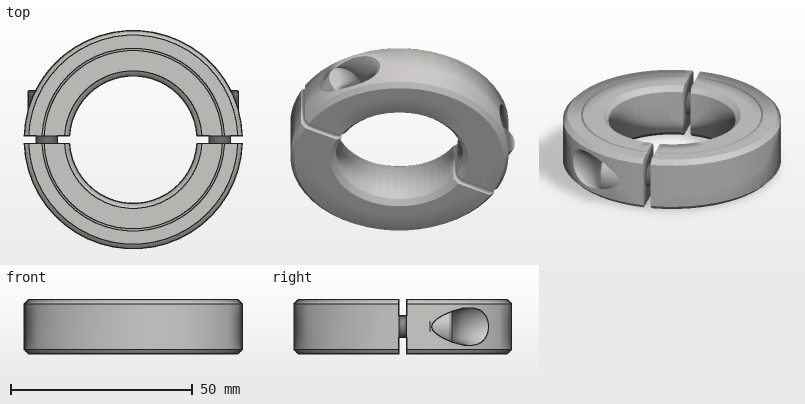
import cadquery as cq


outer_radius = 30.0
bore_radius = 17.5
width = 15.0
gap = 2.1
outer_chamfer = 1.25
bore_chamfer = 1.4

groove_path_radius = 24.8
groove_radius = 0.3

screw_offset = 23.75
shank_radius = 3.0
head_radius = 5.175
head_height = 6.0
head_fillet = 0.5
seat_y = 7.5
shank_length = 16.0
screw_sides = (-1, 1)


def rod_along_y(x, radius, start_y, length):
    """Round rod centred at x on the mid plane, running toward +Y from start_y."""
    plane = cq.Plane(origin=(x, start_y, 0), xDir=(1, 0, 0), normal=(0, 1, 0))
    return cq.Workplane(plane).circle(radius).extrude(length)


def make_ring():
    """Full ring, centred on the origin, with chamfered rims and the groove in its top face."""
    half_width = width / 2
    profile = [
        (bore_radius, -half_width + bore_chamfer),
        (bore_radius + bore_chamfer, -half_width),
        (outer_radius - outer_chamfer, -half_width),
        (outer_radius, -half_width + outer_chamfer),
        (outer_radius, half_width - outer_chamfer),
        (outer_radius - outer_chamfer, half_width),
        (bore_radius + bore_chamfer, half_width),
        (bore_radius, half_width - bore_chamfer),
    ]
    ring = cq.Workplane("XZ").polyline(profile).close().revolve(360, (0, 0), (0, 1))
    groove = (
        cq.Workplane("XZ")
        .center(groove_path_radius, half_width)
        .circle(groove_radius)
        .revolve(360, (-groove_path_radius, 0), (-groove_path_radius, 1))
    )
    return ring.cut(groove)


def make_half_ring(side):
    """Half ring on the +Y (side = 1) or -Y (side = -1) side of the gap."""
    keep = (
        cq.Workplane("XY", origin=(0, side * (gap / 2 + outer_radius / 2), 0))
        .box(2 * outer_radius, outer_radius, width)
    )
    half = make_ring().intersect(keep)
    for screw_side in screw_sides:
        hole = rod_along_y(screw_side * screw_offset, shank_radius, seat_y - shank_length, shank_length)
        half = half.cut(hole)
    return half


def make_head_half():
    """Half ring that takes the screw heads, with a pocket open to the rim over each head."""
    half = make_half_ring(1)
    for screw_side in screw_sides:
        pocket = rod_along_y(screw_side * screw_offset, head_radius, seat_y, outer_radius)
        half = half.cut(pocket)
    return half


def make_threaded_half():
    """Half ring with the blind holes that take the screw ends."""
    return make_half_ring(-1)


def make_screw(screw_side):
    """Cap screw with its head on the +Y side."""
    x = screw_side * screw_offset
    head = rod_along_y(x, head_radius, seat_y, head_height).faces(">Y").edges().fillet(head_fillet)
    shank = rod_along_y(x, shank_radius, seat_y - shank_length, shank_length)
    return head.union(shank)


head_half = make_head_half()
threaded_half = make_threaded_half()
screws = [make_screw(screw_side).val() for screw_side in screw_sides]

result = cq.Compound.makeCompound([head_half.val(), threaded_half.val(), *screws])